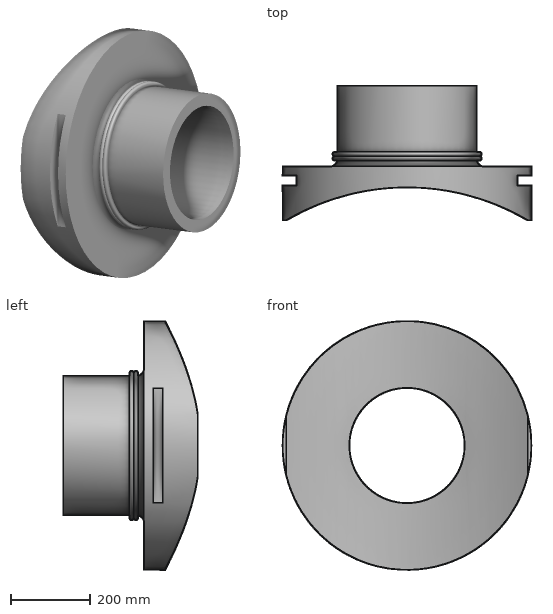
import cadquery as cq

flange_radius = 315.0
flange_depth = 137.0
spigot_length = 204.0
spigot_radius = 177.0
bore_radius = 145.5

saddle_crest_depth = 53.5
saddle_half_chord = 305.0
saddle_rise = flange_depth - saddle_crest_depth
saddle_radius = (saddle_half_chord**2 + saddle_rise**2) / (2 * saddle_rise)

slot_offset = 23.0
slot_width = 24.5
slot_floor_x = 280.0

bead_radius = 5.5
bead_centre_radius = 183.5
bead_spacing = 11.0
first_bead_y = 20.0
root_height = first_bead_y - bead_radius
root_width = 14.5
root_arc_radius = 19.0


def cylinder_along_y(radius, start_y, end_y):
    """Solid cylinder centred on the Y axis."""
    plane = cq.Workplane("XZ", origin=(0, start_y, 0))
    return plane.circle(radius).extrude(start_y - end_y)


def make_flange():
    """Round flange with its -Y face hollowed by a cylinder along Z."""
    flange = cylinder_along_y(flange_radius, -flange_depth, 0)
    saddle_centre_y = -saddle_crest_depth - saddle_radius
    saddle = (
        cq.Workplane("XY")
        .center(0, saddle_centre_y)
        .circle(saddle_radius)
        .extrude(flange_radius + 6, both=True)
    )
    return flange.cut(saddle)


def make_root_flare():
    """Concave ring blending the spigot into the flange."""
    outer_radius = spigot_radius + root_width
    return (
        cq.Workplane("XY")
        .moveTo(bore_radius, 0)
        .lineTo(outer_radius, 0)
        .radiusArc((spigot_radius, root_height), root_arc_radius)
        .lineTo(bore_radius, root_height)
        .close()
        .revolve(360, (0, 0, 0), (0, 1, 0))
    )


def make_bead(centre_y):
    """Ring around the spigot with flat sides and a fully rounded rim."""
    return (
        cq.Workplane("XY")
        .moveTo(bore_radius, centre_y - bead_radius)
        .lineTo(bead_centre_radius, centre_y - bead_radius)
        .threePointArc(
            (bead_centre_radius + bead_radius, centre_y),
            (bead_centre_radius, centre_y + bead_radius),
        )
        .lineTo(bore_radius, centre_y + bead_radius)
        .close()
        .revolve(360, (0, 0, 0), (0, 1, 0))
    )


def make_slot(side):
    """Straight-floored edge slot; side is -1 or +1 along X."""
    slot_depth = flange_radius - slot_floor_x
    slot_centre = (
        side * (slot_floor_x + slot_depth / 2),
        -slot_offset - slot_width / 2,
        0,
    )
    return cq.Workplane("XY").box(slot_depth, slot_width, 2 * flange_radius).translate(slot_centre)


result = make_flange().union(cylinder_along_y(spigot_radius, 0, spigot_length))
result = result.union(make_root_flare())
for bead_y in (first_bead_y, first_bead_y + bead_spacing):
    result = result.union(make_bead(bead_y))
for side in (-1, 1):
    result = result.cut(make_slot(side))
result = result.cut(cylinder_along_y(bore_radius, -flange_depth, spigot_length))